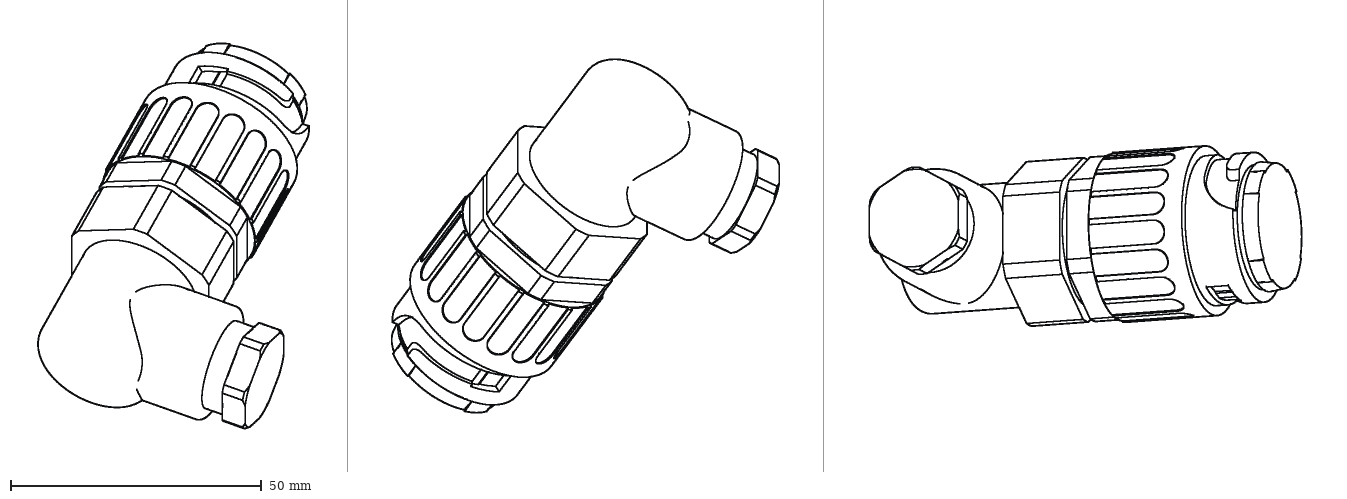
import cadquery as cq
import math


ELBOW_TOP = 24.0
NUT_START = 24.4
NUT_END = 36.45
LOCKNUT_START = 37.9
LOCKNUT_END = 43.1
RING_END = 63.1
BAYONET_END = 73.3
SNAP_START = 74.5
LENGTH = 77.7

OVERALL_WIDTH = 49.7

ELBOW_DIA = 25.0
ELBOW_NECK_DIA = 23.0
THREAD_DIA = 27.0
RING_DIA = 34.0
BAYONET_DIA = 30.0
PLUG_DIA = 25.0
SNAP_DIA = 25.95
SNAP_TIP_DIA = 25.1

ELBOW_FILLET = 3.0

MAIN_HEX_FLATS = 30.0
MAIN_HEX_CORNER_DIA = 33.0

FLUTE_COUNT = 18
FLUTE_WIDTH = 4.75
FLUTE_END = 59.3
FLUTE_DEPTH = 0.27
RING_CHAMFER = 0.4

SEGMENT_COUNT = 4
SEGMENT_SPAN = 62.5
SEGMENT_CENTRE = 11.5

TRACK_COUNT = 2
TRACK_END_ANGLE = -30.0
TRACK_END_LOW = 64.8
POCKET_WIDTH = 4.7
ROOF_HEIGHT = 69.4
ROOF_SLOPE = 0.079
TRACK_RISE_PER_DEGREE = 0.017
TRACK_STEP = 4.0
POCKET_RADIUS = 13.45
RAMP_RADIUS = 13.7
TRACK_RADIUS = 14.1
POCKET_EDGE_ANGLE = -13.3
RAMP_START_ANGLE = -11.9
RAMP_END_ANGLE = -4.7
MOUTH_RADIUS = 13.5
MOUTH_WALL_X = 11.5
BEND_START_ANGLE = 52.0
BEND_RADIUS = 9.3
MOUTH_END_ANGLE = 87.0
MOUTH_CORNER_RADIUS = 1.55

ARM_DIA = 23.9
ARM_Y = ELBOW_TOP / 2
ARM_END = 23.15
ARM_FILLET = 1.1
GLAND_DIA = 18.6
GLAND_END = 27.7
CAP_END = OVERALL_WIDTH - RING_DIA / 2
CAP_FLATS = 19.0
CAP_CORNER_DIA = 20.9
CAP_CHAMFER = 0.55
CAP_TURN = 30

CUT_MARGIN = 3.9
LOFT_BOTTOM = 11.65


def along_y(start):
    """Workplane across the main axis at Y = start, facing +Y."""
    return cq.Workplane(cq.Plane(origin=(0, start, 0), xDir=(0, 0, -1), normal=(0, 1, 0)))


def along_x(start):
    """Workplane across the cable outlet axis at X = start, facing +X."""
    return cq.Workplane("YZ", origin=(start, ARM_Y, 0))


def cylinder(plane, diameter, length):
    return plane.circle(diameter / 2).extrude(length)


def hexagon(plane, flats, corner_dia, length, turn=0):
    """Hexagonal prism whose corners are turned down to a round diameter."""
    corners = flats / math.cos(math.pi / 6)
    prism = plane.transformed(rotate=(0, 0, turn)).polygon(6, corners).extrude(length)
    return prism.intersect(cylinder(plane, corner_dia, length))


def main_hexagon(start, end):
    return hexagon(along_y(start), MAIN_HEX_FLATS, MAIN_HEX_CORNER_DIA, end - start)


def coupling_ring():
    ring = cylinder(along_y(LOCKNUT_END), RING_DIA, RING_END - LOCKNUT_END)
    ring = ring.faces("<Y").chamfer(RING_CHAMFER)
    bottom = LOCKNUT_END - CUT_MARGIN
    top = FLUTE_END - FLUTE_WIDTH / 2
    half = FLUTE_WIDTH / 2
    flute = (
        cq.Workplane("XY")
        .moveTo(-half, bottom)
        .lineTo(half, bottom)
        .lineTo(half, top)
        .threePointArc((0, FLUTE_END), (-half, top))
        .close()
        .extrude(RING_DIA)
    )
    core = cylinder(along_y(bottom), RING_DIA - 2 * FLUTE_DEPTH, LENGTH)
    flute = flute.cut(core)
    for i in range(FLUTE_COUNT):
        ring = ring.cut(flute.rotate((0, 0, 0), (0, 1, 0), i * 360 / FLUTE_COUNT))
    return ring


def snap_rim():
    """Rim with four tapered segments separated by plain lands."""
    height = LENGTH - SNAP_START
    rim = cylinder(along_y(SNAP_START), SNAP_DIA, height)
    cone = (
        cq.Workplane("XY")
        .moveTo(0, SNAP_START)
        .lineTo(SNAP_DIA / 2, SNAP_START)
        .lineTo(SNAP_TIP_DIA / 2, LENGTH)
        .lineTo(0, LENGTH)
        .close()
        .revolve(360, (0, 0, 0), (0, 1, 0))
    )
    shaving = rim.cut(cone)
    reach = SNAP_DIA
    side = reach * math.tan(math.radians(SEGMENT_SPAN / 2))
    sector = (
        along_y(SNAP_START)
        .polyline([(0, 0), (reach, side), (reach, -side)])
        .close()
        .extrude(height)
    )
    for i in range(SEGMENT_COUNT):
        angle = SEGMENT_CENTRE + i * 360 / SEGMENT_COUNT
        rim = rim.cut(shaving.intersect(sector.rotate((0, 0, 0), (0, 1, 0), angle)))
    return rim


def radial_section(angle, floor, low, high):
    """Rectangle in the half plane through the main axis at the given angle."""
    sine = math.sin(math.radians(angle))
    cosine = math.cos(math.radians(angle))
    outer = BAYONET_DIA / 2 + CUT_MARGIN
    corners = [(floor, low), (outer, low), (outer, high), (floor, high)]
    points = [cq.Vector(r * sine, y, r * cosine) for r, y in corners]
    return cq.Wire.makePolygon(points, close=True)


def angles(start, end):
    count = math.ceil((end - start) / TRACK_STEP)
    return [start + (end - start) * i / count for i in range(count + 1)]


def track_low(angle):
    """Lower wall: a helix that bends upwards into the open mouth."""
    helix_angle = min(angle, BEND_START_ANGLE)
    low = TRACK_END_LOW + TRACK_RISE_PER_DEGREE * (helix_angle - TRACK_END_ANGLE)
    travel = math.radians(angle - helix_angle) * BAYONET_DIA / 2
    return low + BEND_RADIUS - math.sqrt(BEND_RADIUS**2 - travel**2)


def above_floor(cutter, floor_x, floor_z):
    """Keeps the part of a cutter outside an elliptical core with the given X and Z semi-axes."""
    core = along_y(RING_END - CUT_MARGIN).ellipse(floor_z, floor_x).extrude(LENGTH)
    return cutter.cut(core)


def track_pocket():
    """Closed end of the track, with a floor concentric with the main axis."""
    sections = []
    for angle in angles(TRACK_END_ANGLE, POCKET_EDGE_ANGLE):
        low = track_low(angle)
        sections.append(radial_section(angle, LOFT_BOTTOM, low, low + POCKET_WIDTH))
    pocket = cq.Workplane(cq.Solid.makeLoft(sections, False))
    return above_floor(pocket, POCKET_RADIUS, POCKET_RADIUS)


def track_ramp(start, end, start_floor, end_floor):
    """Short stretch of the track with a floor sloping between two radii."""
    sections = []
    for angle, floor in [(start, start_floor), (end, end_floor)]:
        low = track_low(angle)
        sections.append(radial_section(angle, floor, low, low + POCKET_WIDTH))
    return cq.Workplane(cq.Solid.makeLoft(sections, True))


def roof_height(x):
    """Height of the sloping upper wall of the track."""
    return ROOF_HEIGHT + ROOF_SLOPE * x


def track_roof():
    """Block above the track and beside its mouth, with a rounded corner between them."""
    top = BAYONET_END + 2 * CUT_MARGIN
    left = -BAYONET_DIA / 2
    corner = (MOUTH_WALL_X, roof_height(MOUTH_WALL_X))
    block = (
        cq.Workplane("XY")
        .polyline([(left, roof_height(left)), corner, (MOUTH_WALL_X, top), (left, top)])
        .close()
        .extrude(BAYONET_DIA)
    )
    lower_edge = cq.selectors.NearestToPointSelector((*corner, BAYONET_DIA / 2))
    return block.edges("|Z").edges(lower_edge).fillet(MOUTH_CORNER_RADIUS)


def track_run():
    """Main stretch of the track, from the ramp to the open mouth."""
    top = BAYONET_END + CUT_MARGIN
    sections = [
        radial_section(angle, LOFT_BOTTOM, track_low(angle), top)
        for angle in angles(RAMP_END_ANGLE, MOUTH_END_ANGLE)
    ]
    run = cq.Workplane(cq.Solid.makeLoft(sections, False)).cut(track_roof())
    return above_floor(run, MOUTH_RADIUS, TRACK_RADIUS)


def bayonet():
    body = cylinder(along_y(RING_END), BAYONET_DIA, BAYONET_END - RING_END)
    pieces = [
        track_pocket(),
        track_ramp(POCKET_EDGE_ANGLE, RAMP_START_ANGLE, POCKET_RADIUS, RAMP_RADIUS),
        track_ramp(RAMP_START_ANGLE, RAMP_END_ANGLE, RAMP_RADIUS, TRACK_RADIUS),
        track_run(),
    ]
    for i in range(TRACK_COUNT):
        for piece in pieces:
            body = body.cut(piece.rotate((0, 0, 0), (0, 1, 0), i * 360 / TRACK_COUNT))
    return body


def elbow():
    body = cylinder(along_y(0), ELBOW_DIA, ELBOW_TOP).faces("<Y").edges().fillet(ELBOW_FILLET)
    arm = cylinder(along_x(0), ARM_DIA, ARM_END).faces(">X").edges().fillet(ARM_FILLET)
    return body.union(arm)


def gland_cap():
    length = CAP_END - GLAND_END
    cap = hexagon(along_x(GLAND_END), CAP_FLATS, CAP_CORNER_DIA, length, CAP_TURN)
    envelope = cylinder(along_x(GLAND_END), CAP_CORNER_DIA, length)
    return cap.intersect(envelope.faces(">X").chamfer(CAP_CHAMFER))


result = (
    elbow()
    .union(cylinder(along_x(0), GLAND_DIA, GLAND_END))
    .union(gland_cap())
    .union(cylinder(along_y(ARM_Y), ELBOW_NECK_DIA, NUT_START - ARM_Y))
    .union(main_hexagon(NUT_START, NUT_END))
    .union(cylinder(along_y(NUT_END), THREAD_DIA, LOCKNUT_START - NUT_END))
    .union(main_hexagon(LOCKNUT_START, LOCKNUT_END))
    .union(coupling_ring())
    .union(bayonet())
    .union(cylinder(along_y(BAYONET_END), PLUG_DIA, SNAP_START - BAYONET_END))
    .union(snap_rim())
)